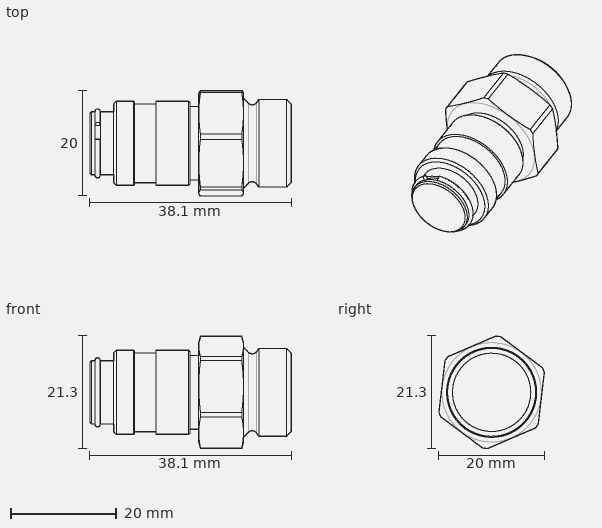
import cadquery as cq
import math

total_length = 38.15
front_collar_start = 4.5
front_collar_end = 8.47
rear_collar_start = 12.5
rear_collar_end = 19.0
hex_start = 20.6
hex_end = 29.1

nose_diameter = 12.0
collar_diameter = 16.0
label_band_diameter = 15.0
neck_diameter = 14.0
thread_diameter = 16.67

nose_chamfer = 0.3
collar_front_chamfer = 0.5
collar_small_chamfer = 0.2
rear_collar_chamfer = 0.3
thread_end_chamfer = 0.9

hex_across_flats = 19.0
hex_corner_diameter = 21.4
hex_face_diameter = 18.85
hex_chamfer_angle = 15.0
hex_roll_angle = 6.7

relief_radius = 1.0
relief_diameter = 14.6
relief_center_x = 30.75
relief_cone_angle = 45.0
thread_runout_angle = 55.0

wire_diameter = 1.0
groove_width = 1.03
groove_floor_diameter = 11.15
ring_center_x = 1.45
ring_gap_start_angle = 7.0
ring_gap_angle = 30.0


def revolve_about_x(profile):
    return profile.close().revolve(360, (0, 0, 0), (1, 0, 0))


def cylinder(start, end, diameter):
    return cq.Workplane("YZ", origin=(start, 0, 0)).circle(diameter / 2).extrude(end - start)


def make_nose():
    nose = cylinder(0, front_collar_start, nose_diameter)
    return nose.faces("<X").chamfer(nose_chamfer)


def make_collars():
    front = cylinder(front_collar_start, front_collar_end, collar_diameter)
    front = front.faces("<X").chamfer(collar_front_chamfer)
    front = front.faces(">X").chamfer(collar_small_chamfer)
    label_band = cylinder(front_collar_end, rear_collar_start, label_band_diameter)
    rear = cylinder(rear_collar_start, rear_collar_end, collar_diameter)
    rear = rear.faces(">X").chamfer(rear_collar_chamfer)
    neck = cylinder(rear_collar_end, hex_start, neck_diameter)
    return front.union(label_band).union(rear).union(neck)


def make_hexagon():
    prism = (
        cq.Workplane("YZ", origin=(hex_start, 0, 0))
        .polygon(6, hex_across_flats / math.cos(math.radians(30)))
        .extrude(hex_end - hex_start)
        .rotate((0, 0, 0), (1, 0, 0), 90 - hex_roll_angle)
    )
    corner_radius = hex_corner_diameter / 2
    face_radius = hex_face_diameter / 2
    chamfer_length = (corner_radius - face_radius) * math.tan(math.radians(hex_chamfer_angle))
    turned_blank = revolve_about_x(
        cq.Workplane("XY")
        .moveTo(hex_start, 0)
        .lineTo(hex_start, face_radius)
        .lineTo(hex_start + chamfer_length, corner_radius)
        .lineTo(hex_end - chamfer_length, corner_radius)
        .lineTo(hex_end, face_radius)
        .lineTo(hex_end, 0)
    )
    return prism.intersect(turned_blank)


def make_threaded_end():
    thread_radius = thread_diameter / 2
    arc_center_radius = relief_diameter / 2 + relief_radius
    cone = math.radians(relief_cone_angle)
    runout = math.radians(thread_runout_angle)

    arc_start_x = relief_center_x - relief_radius * math.sin(cone)
    arc_start_radius = arc_center_radius - relief_radius * math.cos(cone)
    arc_end_x = relief_center_x + relief_radius * math.sin(runout)
    arc_end_radius = arc_center_radius - relief_radius * math.cos(runout)
    cone_start_radius = arc_start_radius + (arc_start_x - hex_end) * math.tan(cone)
    thread_start = arc_end_x + (thread_radius - arc_end_radius) / math.tan(runout)

    return revolve_about_x(
        cq.Workplane("XY")
        .moveTo(hex_end, 0)
        .lineTo(hex_end, cone_start_radius)
        .lineTo(arc_start_x, arc_start_radius)
        .threePointArc((relief_center_x, relief_diameter / 2), (arc_end_x, arc_end_radius))
        .lineTo(thread_start, thread_radius)
        .lineTo(total_length - thread_end_chamfer, thread_radius)
        .lineTo(total_length, thread_radius - thread_end_chamfer)
        .lineTo(total_length, 0)
    )


def make_ring_groove():
    groove_start = ring_center_x - groove_width / 2
    groove_end = ring_center_x + groove_width / 2
    outer = cylinder(groove_start, groove_end, nose_diameter + wire_diameter)
    floor = cylinder(groove_start, groove_end, groove_floor_diameter)
    return outer.cut(floor)


def make_fitting():
    fitting = make_nose().union(make_collars()).union(make_hexagon()).union(make_threaded_end())
    return fitting.cut(make_ring_groove())


def make_snap_ring():
    ring_mean_radius = (groove_floor_diameter + wire_diameter) / 2
    ring = (
        cq.Workplane("XY")
        .center(ring_center_x, ring_mean_radius)
        .circle(wire_diameter / 2)
        .revolve(360 - ring_gap_angle, (0, -ring_mean_radius, 0), (-1, -ring_mean_radius, 0))
    )
    first_end_angle = 90 - ring_gap_start_angle - ring_gap_angle
    return ring.rotate((0, 0, 0), (1, 0, 0), first_end_angle)


fitting = make_fitting()
snap_ring = make_snap_ring()

result = cq.Compound.makeCompound([fitting.solids().val(), snap_ring.val()])